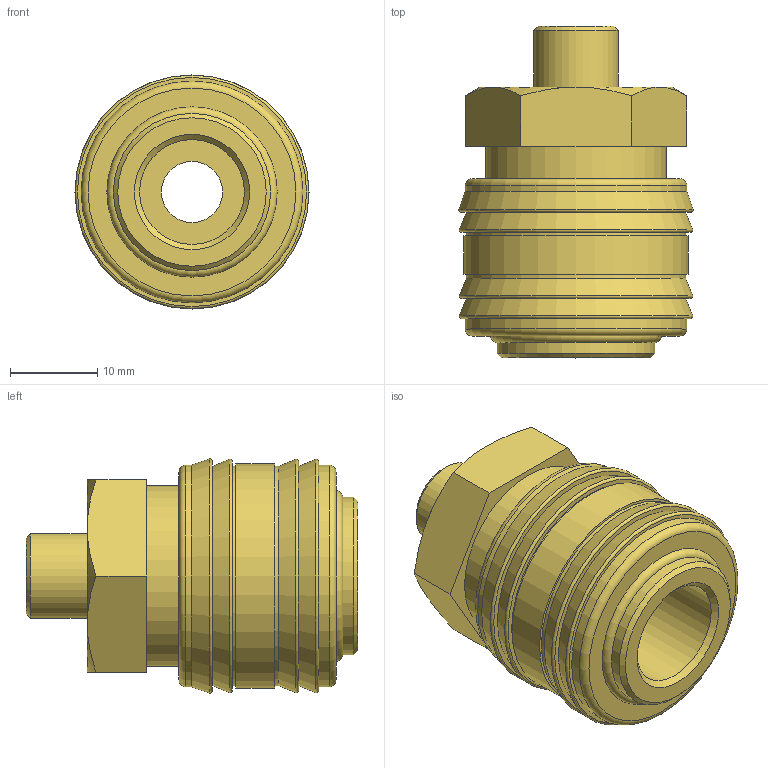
import cadquery as cq
import math


total_length = 38.0
bead_start = 1.75
sleeve_start = 2.5
sleeve_end = 20.5
hex_start = 24.2
hex_end = 31.0

nose_radius = 9.0
nose_chamfer = 0.5
bead_fillet = sleeve_start - bead_start
bead_radius = nose_radius + bead_fillet

sleeve_radius = 12.7
sleeve_fillet = 0.8
groove_radius = 12.55
band_radius = 12.85
band_start = 9.55
band_end = 14.0

rib_pitch = 2.3
rib_sharp_radius = 13.5
rib_tip_fillet = 0.25
front_pair_start = 4.5
rear_pair_start = 14.37
last_rib_start = rear_pair_start + rib_pitch
last_rib_length = 2.4

neck_radius = 10.35
hex_across_flats = 22.0
hex_across_corners = hex_across_flats / math.cos(math.radians(30))
hex_chamfer_angle = 30.0
tip_radius = 4.85
tip_chamfer = 0.5

through_radius = 3.5
socket_radius = 6.0
socket_depth = hex_start
mouth_chamfer = 0.6


def disc(radius, start, end):
    """Solid cylinder on the Y axis between two stations."""
    return (
        cq.Workplane("XZ", origin=(0, start, 0))
        .circle(radius)
        .extrude(start - end)
    )


def turned(points):
    """Solid turned about the Y axis from a closed (radius, station) outline."""
    return cq.Workplane("XY").polyline(points).close().revolve(360, (0, 0), (0, 1))


def make_rib(start, length, root_radius):
    """Rib with a flat front face, a rounded tip and a cone falling away to its root."""
    end = start + length
    rib = turned([(0, start), (rib_sharp_radius, start), (root_radius, end), (0, end)])
    return rib.edges(cq.selectors.RadiusNthSelector(-1)).fillet(rib_tip_fillet)


def make_nose():
    nose = disc(nose_radius, 0, sleeve_start).faces("<Y").chamfer(nose_chamfer)
    bead = disc(bead_radius, bead_start, sleeve_end)
    bead = bead.faces("<Y").edges().fillet(bead_fillet)
    return nose.union(bead)


def make_sleeve():
    sleeve = disc(sleeve_radius, sleeve_start, sleeve_end).edges().fillet(sleeve_fillet)
    groove = disc(sleeve_radius, front_pair_start, last_rib_start)
    groove = groove.cut(disc(groove_radius, front_pair_start, last_rib_start))
    sleeve = sleeve.cut(groove).union(disc(band_radius, band_start, band_end))
    for start in (front_pair_start, front_pair_start + rib_pitch, rear_pair_start):
        sleeve = sleeve.union(make_rib(start, rib_pitch, groove_radius))
    return sleeve.union(make_rib(last_rib_start, last_rib_length, sleeve_radius))


def make_hexagon():
    """Hexagon with corners on X, its rear corners trimmed by a cone touching the flats."""
    hexagon = (
        cq.Workplane("XZ", origin=(0, hex_start, 0))
        .polygon(6, hex_across_corners)
        .extrude(hex_start - hex_end)
    )
    flat_radius = hex_across_flats / 2
    cone_radius = flat_radius + (hex_end - hex_start) / math.tan(math.radians(hex_chamfer_angle))
    cone = turned([(0, hex_start), (cone_radius, hex_start), (flat_radius, hex_end), (0, hex_end)])
    return hexagon.intersect(cone)


def make_tip():
    return disc(tip_radius, hex_start, total_length).faces(">Y").chamfer(tip_chamfer)


def make_bores():
    mouth_radius = socket_radius + mouth_chamfer
    mouth = turned([(0, 0), (mouth_radius, 0), (socket_radius, mouth_chamfer), (0, mouth_chamfer)])
    socket = disc(socket_radius, 0, socket_depth)
    return disc(through_radius, 0, total_length).union(socket).union(mouth)


neck = disc(neck_radius, sleeve_start, hex_start)
result = make_nose().union(make_sleeve()).union(neck).union(make_hexagon()).union(make_tip())
result = result.cut(make_bores())